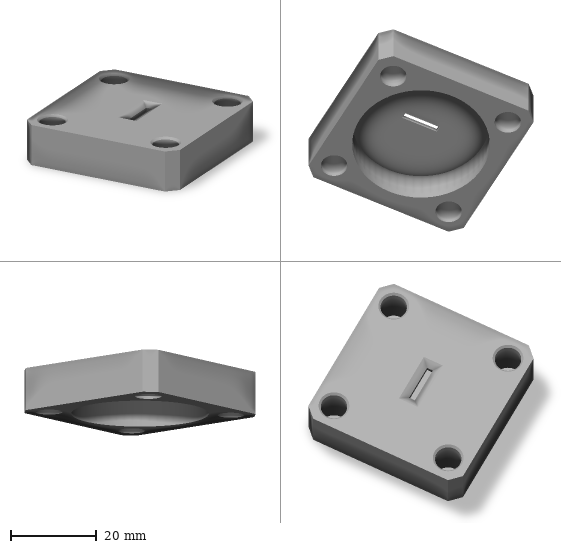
import cadquery as cq

plate_side = 40.6
plate_thickness = 10.0
corner_chamfer = 2.6

hole_spacing = 30.0
hole_diameter = 6.15
countersink_depth = 0.5
countersink_diameter = hole_diameter + 2 * countersink_depth
countersink_angle = 90

web_thickness = 2.0
recess_diameter = 32.0
recess_depth = plate_thickness - web_thickness

slot_width = 1.5
slot_length = 9.0
funnel_margin = 1.75
funnel_depth = 1.0


def make_plate():
    """Square plate with its base on Z = 0 and its four upright edges chamfered."""
    plate = cq.Workplane("XY").box(plate_side, plate_side, plate_thickness, centered=(True, True, False))
    return plate.edges("|Z").chamfer(corner_chamfer)


def cut_corner_holes(plate):
    """Countersunk through holes, one at each corner of a square pattern."""
    return (
        plate.faces(">Z")
        .workplane(origin=(0, 0, plate_thickness))
        .rect(hole_spacing, hole_spacing, forConstruction=True)
        .vertices()
        .cskHole(hole_diameter, countersink_diameter, countersink_angle)
    )


def make_recess_cutter():
    """Cylinder that hollows the plate from below, up to the web."""
    return cq.Workplane("XY").circle(recess_diameter / 2).extrude(recess_depth)


def make_window_cutter():
    """Straight slot widened by a rectangular funnel at the top face."""
    slot = cq.Workplane("XY").rect(slot_width, slot_length).extrude(plate_thickness)
    funnel = (
        cq.Workplane("XY", origin=(0, 0, plate_thickness))
        .rect(slot_width + 2 * funnel_margin, slot_length + 2 * funnel_margin)
        .workplane(offset=-funnel_depth)
        .rect(slot_width, slot_length)
        .loft(ruled=True)
    )
    return slot.union(funnel)


plate = cut_corner_holes(make_plate())
result = plate.cut(make_recess_cutter()).cut(make_window_cutter())